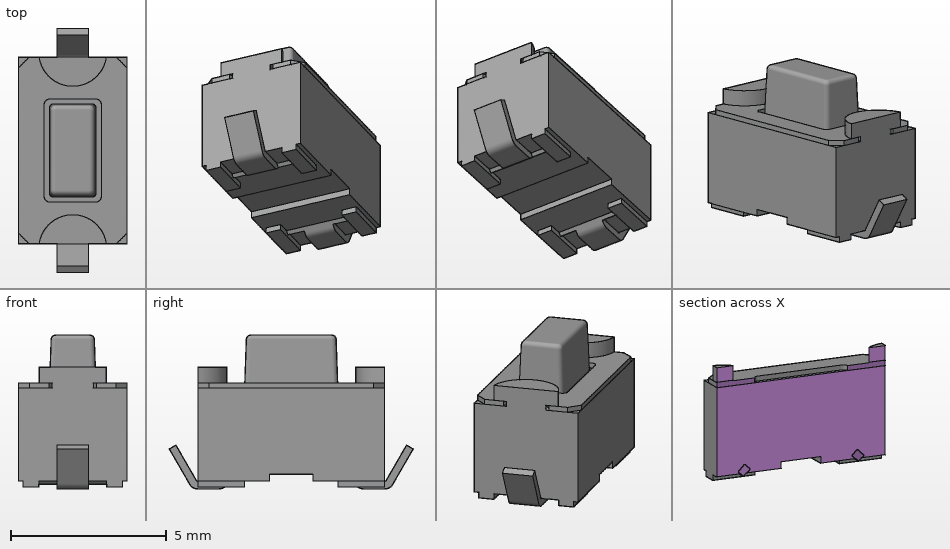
import cadquery as cq
import math


OVERALL_LENGTH = 7.84
BODY_WIDTH = 3.5
BODY_LENGTH = 6.005
BODY_HEIGHT = 2.995

FOOT_INNER_X = 1.09
FOOT_OUTER_X = 1.6
FOOT_INNER_Y = 1.5
FOOT_HEIGHT = 0.19
GROOVE_WIDTH = 1.395
GROOVE_DEPTH = 0.22

POST_CENTER_Y = BODY_LENGTH / 2 + 0.15
HEAD_RADIUS = 1.09
HEAD_HEIGHT = 0.5
STEM_RADIUS = 0.68
STEM_CLEARANCE = 0.1

COVER_THICKNESS = 0.165
COVER_CHAMFER = 0.35
COVER_TOP = BODY_HEIGHT + COVER_THICKNESS
WINDOW_WIDTH = 1.835
WINDOW_LENGTH = 3.31
WINDOW_RADIUS = 0.17

BUTTON_WIDTH = 1.505
BUTTON_LENGTH = 3.0
BUTTON_HEIGHT = 1.7
BUTTON_DRAFT = 2.0
BUTTON_RADIUS = 0.15

STRIP_WIDTH = 1.02
STRIP_THICKNESS = 0.25
BEND_OUTER_RADIUS = 0.302
BEND_INNER_RADIUS = BEND_OUTER_RADIUS - STRIP_THICKNESS
BEND_CENTER_Z = BEND_INNER_RADIUS
ARM_BEND_Y = BODY_LENGTH / 2
ARM_ANGLE = 60.0
TAIL_BEND_Y = 2.32
TAIL_ANGLE = 45.0
TAIL_NECK_LENGTH = 0.09
TAIL_HEAD_LENGTH = 0.31
TAIL_HEAD_WIDTH = 2 * FOOT_INNER_X

ENDS = (-1, 1)


def block(x_min, x_max, y_min, y_max, z_min, z_max):
    size = (x_max - x_min, y_max - y_min, z_max - z_min)
    return cq.Workplane("XY").box(*size, centered=False).translate((x_min, y_min, z_min))


def body_block(z_min, z_max):
    half_width = BODY_WIDTH / 2
    half_length = BODY_LENGTH / 2
    return block(-half_width, half_width, -half_length, half_length, z_min, z_max)


def post_cylinder(end, radius, z_min, z_max):
    """Upright cylinder on the axis of the rivet post at one end of the housing."""
    base = cq.Workplane("XY", origin=(0, end * POST_CENTER_Y, z_min))
    return base.circle(radius).extrude(z_max - z_min)


def make_housing():
    housing = body_block(0, BODY_HEIGHT)
    half_width = BODY_WIDTH / 2
    half_groove = GROOVE_WIDTH / 2
    housing = housing.cut(block(-half_width, half_width, -half_groove, half_groove, 0, GROOVE_DEPTH))

    foot = block(FOOT_INNER_X, FOOT_OUTER_X, FOOT_INNER_Y, BODY_LENGTH / 2, -FOOT_HEIGHT, 0)
    feet_on_one_side = foot.union(foot.mirror("XZ"))
    housing = housing.union(feet_on_one_side).union(feet_on_one_side.mirror("YZ"))

    for end in ENDS:
        stem = post_cylinder(end, STEM_RADIUS, BODY_HEIGHT, COVER_TOP)
        head = post_cylinder(end, HEAD_RADIUS, COVER_TOP, COVER_TOP + HEAD_HEIGHT)
        post = stem.union(head).intersect(body_block(BODY_HEIGHT, COVER_TOP + HEAD_HEIGHT))
        housing = housing.union(post)
    return housing


def make_cover():
    cover = body_block(BODY_HEIGHT, COVER_TOP).edges("|Z").chamfer(COVER_CHAMFER)
    window = (
        cq.Workplane("XY", origin=(0, 0, BODY_HEIGHT))
        .rect(WINDOW_WIDTH, WINDOW_LENGTH)
        .extrude(COVER_THICKNESS)
        .edges("|Z")
        .fillet(WINDOW_RADIUS)
    )
    cover = cover.cut(window)
    for end in ENDS:
        cover = cover.cut(post_cylinder(end, STEM_RADIUS + STEM_CLEARANCE, BODY_HEIGHT, COVER_TOP))
    return cover


def make_button():
    """Drafted key that stands on the housing and passes through the cover window."""
    key = (
        cq.Workplane("XY", origin=(0, 0, BODY_HEIGHT))
        .rect(BUTTON_WIDTH, BUTTON_LENGTH)
        .extrude(BUTTON_HEIGHT, taper=BUTTON_DRAFT)
    )
    key = key.edges("not(#Z)").fillet(BUTTON_RADIUS)
    return key.faces(">Z").edges().fillet(BUTTON_RADIUS)


def bend_point(bend_y, radius, angle):
    """(Y, Z) point on a bend, with the angle in degrees from straight down towards +Y."""
    turn = math.radians(angle)
    return (bend_y + radius * math.sin(turn), BEND_CENTER_Z - radius * math.cos(turn))


def along(point, distance, angle):
    """Point at a distance along a slope that rises at the angle above +Y."""
    turn = math.radians(angle)
    return (point[0] + distance * math.cos(turn), point[1] + distance * math.sin(turn))


def strip_part(profile, width):
    return profile.close().extrude(width / 2, both=True)


def make_terminal():
    """Terminal at the +Y end."""
    arm_outer = bend_point(ARM_BEND_Y, BEND_OUTER_RADIUS, ARM_ANGLE)
    arm_inner = bend_point(ARM_BEND_Y, BEND_INNER_RADIUS, ARM_ANGLE)
    arm_length = (OVERALL_LENGTH / 2 - arm_outer[0]) / math.cos(math.radians(ARM_ANGLE))

    tail_slope = 180 - TAIL_ANGLE
    tail_outer = bend_point(TAIL_BEND_Y, BEND_OUTER_RADIUS, -TAIL_ANGLE)
    tail_inner = bend_point(TAIL_BEND_Y, BEND_INNER_RADIUS, -TAIL_ANGLE)
    neck_outer = along(tail_outer, TAIL_NECK_LENGTH, tail_slope)
    neck_inner = along(tail_inner, TAIL_NECK_LENGTH, tail_slope)

    strip = strip_part(
        cq.Workplane("YZ")
        .moveTo(*bend_point(TAIL_BEND_Y, BEND_OUTER_RADIUS, 0))
        .lineTo(*bend_point(ARM_BEND_Y, BEND_OUTER_RADIUS, 0))
        .threePointArc(bend_point(ARM_BEND_Y, BEND_OUTER_RADIUS, ARM_ANGLE / 2), arm_outer)
        .lineTo(*along(arm_outer, arm_length, ARM_ANGLE))
        .lineTo(*along(arm_inner, arm_length, ARM_ANGLE))
        .lineTo(*arm_inner)
        .threePointArc(
            bend_point(ARM_BEND_Y, BEND_INNER_RADIUS, ARM_ANGLE / 2),
            bend_point(ARM_BEND_Y, BEND_INNER_RADIUS, 0),
        )
        .lineTo(*bend_point(TAIL_BEND_Y, BEND_INNER_RADIUS, 0))
        .threePointArc(bend_point(TAIL_BEND_Y, BEND_INNER_RADIUS, -TAIL_ANGLE / 2), tail_inner)
        .lineTo(*neck_inner)
        .lineTo(*neck_outer)
        .lineTo(*tail_outer)
        .threePointArc(
            bend_point(TAIL_BEND_Y, BEND_OUTER_RADIUS, -TAIL_ANGLE / 2),
            bend_point(TAIL_BEND_Y, BEND_OUTER_RADIUS, 0),
        ),
        STRIP_WIDTH,
    )
    tail_head = strip_part(
        cq.Workplane("YZ")
        .moveTo(*neck_outer)
        .lineTo(*along(neck_outer, TAIL_HEAD_LENGTH, tail_slope))
        .lineTo(*along(neck_inner, TAIL_HEAD_LENGTH, tail_slope))
        .lineTo(*neck_inner),
        TAIL_HEAD_WIDTH,
    )
    return strip.union(tail_head)


housing = make_housing()
cover = make_cover()
button = make_button()

terminals = []
for turn in (0, 180):
    terminal = make_terminal().rotate((0, 0, 0), (0, 0, 1), turn)
    housing = housing.cut(terminal)
    terminals.append(terminal.val())

result = cq.Compound.makeCompound([housing.val(), cover.val(), button.val(), *terminals])